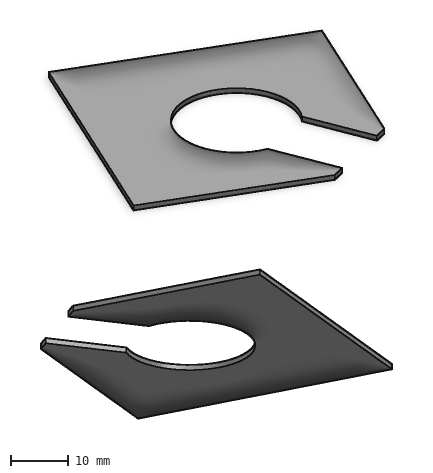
import cadquery as cq

side = 50.0
thickness = 1.0
corner_chamfer = 13.2

hole_radius = 11.5
hole_offset = 26.25

slot_width = 13.0
slot_length = side
slot_angle = 45.0

plate = (
    cq.Workplane("XY")
    .rect(side, side, centered=False)
    .extrude(thickness)
    .edges("|Z and >X and >Y")
    .chamfer(corner_chamfer)
)

hole_center = (hole_offset, hole_offset, 0)
hole = cq.Workplane("XY", origin=hole_center).circle(hole_radius).extrude(thickness)

slot = (
    cq.Workplane("XY")
    .box(slot_length, slot_width, thickness, centered=(False, True, False))
    .rotate((0, 0, 0), (0, 0, 1), slot_angle)
    .translate(hole_center)
)

result = plate.cut(hole).cut(slot)